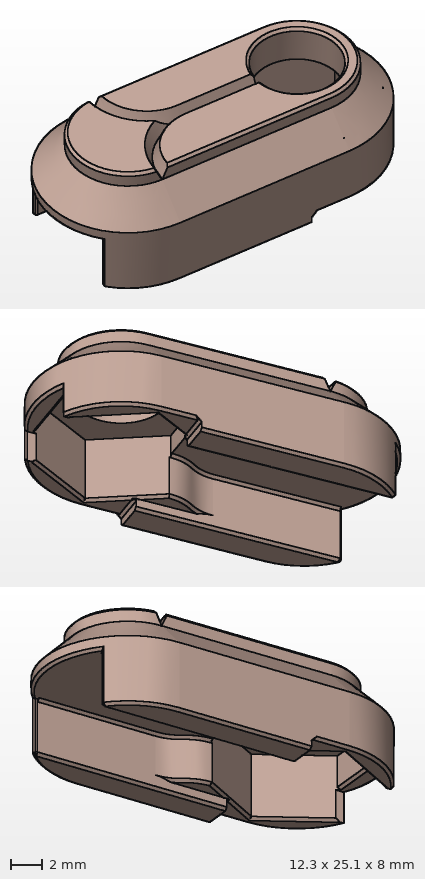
import cadquery as cq
import math

length = 25.1
width = 12.3
height = 8.0
end_center_y = (length - width) / 2
edge_chamfer = 0.2

tolerance = 0.005

skirt_top = 4.87
shoulder_run = 2.1
shoulder_top = skirt_top + shoulder_run
top_width = width - 2 * shoulder_run
top_length = length - 2 * shoulder_run

hole_diameter = 6.1

groove_depth = height - shoulder_top
groove_half_width = 0.48
branch_radius = top_width / 2
branch_center_y = branch_radius - end_center_y

hex_apothem = 4.75
hex_ceiling = 5.45

chamber_half_width = 3.9
chamber_ceiling = 4.0
neck_half_width = 2.79
neck_arc_radius = 3.0
neck_end_y = end_center_y - hex_apothem

flare_start_y = -10.72
flare_angle = 30.0

rear_base = 0.8
rear_base_start_y = 3.56
rear_opening_top = 3.0


def stadium(total_length, total_width, bottom, depth):
    """Stadium-shaped prism, long axis along Y."""
    return (
        cq.Workplane("XY").workplane(offset=bottom)
        .slot2D(total_length, total_width, 90).extrude(depth)
    )


def box_between(x_half, y_start, y_end, bottom, top):
    """Box centred on X, between two Y positions and two heights."""
    return cq.Workplane("XY").box(
        2 * x_half, y_end - y_start, top - bottom, centered=(True, False, False)
    ).translate((0, y_start, bottom))


def outer_body():
    skirt = stadium(length, width, 0, shoulder_top).faces(">Z").edges().chamfer(shoulder_run)
    raised_top = stadium(top_length, top_width, skirt_top, height - skirt_top)
    raised_top = raised_top.faces(">Z").edges().chamfer(edge_chamfer)
    return skirt.union(raised_top)


def hole():
    radius = hole_diameter / 2
    profile = [
        (0, 0),
        (radius, 0),
        (radius, height - edge_chamfer),
        (radius + edge_chamfer, height),
        (0, height),
    ]
    return (
        cq.Workplane("XZ").polyline(profile).close()
        .revolve(360, (0, 0, 0), (0, 1, 0)).translate((0, end_center_y, 0))
    )


def grooves():
    def section(center_x):
        return [
            (center_x - groove_half_width, height),
            (center_x, height - groove_depth),
            (center_x + groove_half_width, height),
        ]

    straight = (
        cq.Workplane("XZ", origin=(0, branch_center_y, 0))
        .polyline(section(0)).close().extrude(branch_center_y - end_center_y)
    )
    left_branch = (
        cq.Workplane("XZ").polyline(section(branch_radius)).close()
        .revolve(90, (0, 0, 0), (0, -1, 0))
        .translate((-branch_radius, branch_center_y, 0))
    )
    return straight.union(left_branch).union(left_branch.mirror("YZ"))


def widened_mouth(outline):
    """Pocket mouth flaring at 45 degrees from the outline down to the rear base level."""
    return outline.extrude(-edge_chamfer, taper=-45)


def hex_pocket():
    def outline(level):
        return (
            cq.Workplane("XY", origin=(0, end_center_y, level))
            .transformed(rotate=(0, 0, 30))
            .polygon(6, 2 * hex_apothem, circumscribed=True)
        )

    pocket = outline(0).extrude(hex_ceiling)
    return pocket.union(widened_mouth(outline(rear_base + edge_chamfer)))


def front_chamber():
    half_step = (chamber_half_width - neck_half_width) / 2
    turn = math.acos(1 - half_step / neck_arc_radius)
    half_run = neck_arc_radius * math.sin(turn)
    curve_middle = (chamber_half_width - half_step, neck_end_y - half_run)
    curve_start_y = neck_end_y - 2 * half_run

    def half_outline(level):
        return (
            cq.Workplane("XY").workplane(offset=level)
            .moveTo(0, -length).lineTo(chamber_half_width, -length)
            .lineTo(chamber_half_width, curve_start_y)
            .tangentArcPoint(curve_middle, relative=False)
            .tangentArcPoint((neck_half_width, neck_end_y), relative=False)
            .lineTo(neck_half_width, end_center_y).lineTo(0, end_center_y).close()
        )

    def both_halves(half):
        return half.union(half.mirror("YZ"))

    chamber = both_halves(half_outline(rear_base).extrude(chamber_ceiling - rear_base))
    chamber = chamber.faces(">Z").edges().chamfer(edge_chamfer)
    neck_mouth = both_halves(widened_mouth(half_outline(rear_base + edge_chamfer)))
    neck_mouth = neck_mouth.intersect(box_between(chamber_half_width, -length, length, 0, height))
    flare_run = length / 2 + flare_start_y
    flare_half_width = chamber_half_width + flare_run * math.tan(math.radians(flare_angle))
    flare = cq.Workplane("XY").polyline([
        (-chamber_half_width, flare_start_y),
        (chamber_half_width, flare_start_y),
        (flare_half_width, -length / 2),
        (-flare_half_width, -length / 2),
    ]).close().extrude(chamber_ceiling)
    base_slot = box_between(chamber_half_width, -length, rear_base_start_y, 0, rear_base)
    return chamber.union(neck_mouth).union(flare).union(base_slot)


def rear_cuts():
    base_step = box_between(width, rear_base_start_y, length, 0, rear_base)
    base_step = base_step.faces(">Z").edges("<Y").chamfer(edge_chamfer)
    opening = box_between(neck_half_width, end_center_y, length, 0, rear_opening_top)
    return base_step.union(opening)


def needs_chamfer(edge):
    """True for the lower edges of the skirt, the leg bases and the inner edge of the rear opening."""
    points = [edge.positionAt(step) for step in (0, 0.5, 1)]

    def on_skirt(point):
        past_center = max(abs(point.y) - end_center_y, 0)
        return abs(math.hypot(point.x, past_center) - width / 2) < tolerance

    def at_level(level):
        return all(abs(point.z - level) < tolerance for point in points)

    beside_step = -tolerance < points[1].y - rear_base_start_y < edge_chamfer
    below_shoulder = all(on_skirt(point) and point.z < skirt_top - tolerance for point in points)
    lower_skirt = below_shoulder and not beside_step
    leg_base = at_level(0) and points[1].y < rear_base_start_y - tolerance
    rear_lip = at_level(rear_opening_top) and abs(points[1].x) < tolerance
    return lower_skirt or leg_base or rear_lip


body = outer_body().cut(hole()).cut(grooves())
body = body.cut(hex_pocket()).cut(front_chamber()).cut(rear_cuts())
chamfered_edges = [edge for edge in body.edges().vals() if needs_chamfer(edge)]
result = body.newObject(chamfered_edges).chamfer(edge_chamfer)